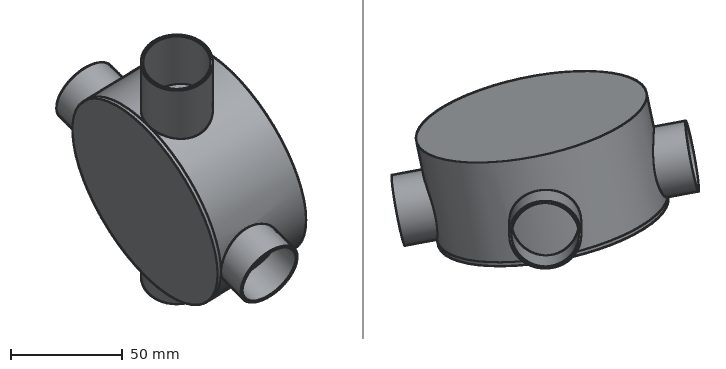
import cadquery as cq

total_height = 152.5
total_width = 134.0
total_depth = 50.5

drum_diameter = 105.5
drum_radius = drum_diameter / 2
lid_thickness = 2.0

pipe_diameter = 32.3
pipe_wall = 1.0
lid_clearance = 0.03
pipe_radius = pipe_diameter / 2
bore_radius = pipe_radius - pipe_wall
short_stub = (total_width - drum_diameter) / 2
long_stub = total_height - drum_diameter - short_stub

pipe_axis_y = lid_thickness + lid_clearance + pipe_radius

stubs = [(0, long_stub), (90, short_stub), (180, short_stub), (270, short_stub)]


def disc(front_y, back_y):
    """Solid disc of the drum diameter, between two planes across Y."""
    return (
        cq.Workplane("XZ", origin=(0, front_y, 0))
        .circle(drum_radius)
        .extrude(front_y - back_y)
    )


def pipe(angle, stub_length):
    """Open pipe from the drum axis outwards, turned about that axis."""
    return (
        cq.Workplane("XY", origin=(0, pipe_axis_y, 0))
        .circle(pipe_radius)
        .circle(bore_radius)
        .extrude(drum_radius + stub_length)
        .rotate((0, 0, 0), (0, 1, 0), angle)
    )


def make_housing():
    """Drum with four pipe stubs; each bore stops at the round drum wall."""
    housing = disc(lid_thickness, total_depth)
    for angle, stub_length in stubs:
        housing = housing.union(pipe(angle, stub_length).cut(disc(0, total_depth)))
    return housing


def make_lid():
    """Flat round lid closing the front of the drum."""
    return disc(0, lid_thickness)


housing = make_housing()
lid = make_lid()

result = cq.Compound.makeCompound([housing.solids().val(), lid.val()])